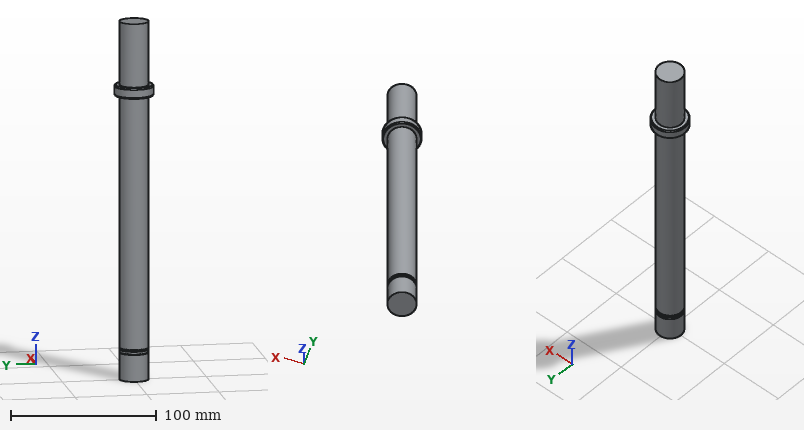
import cadquery as cq

length = 251.0
shaft_radius = 20.0 / 2

collar_radius = 27.0 / 2
collar_bottom = 199.0
collar_height = 7.5
chamfer_height = 1.0
chamfer_depth = 0.8

groove_radius = 16.3 / 2
groove_bottom = 18.8
groove_width = 3.5

ring_radius = 20.3 / 2
ring_bottom = 19.3
ring_thickness = 1.8


def cylinder(radius, bottom, height):
    """Cylinder on the Z axis, starting at the given level."""
    return cq.Workplane("XY", origin=(0, 0, bottom)).circle(radius).extrude(height)


shaft = cylinder(shaft_radius, 0, length)

collar_top = collar_bottom + collar_height
rim_radius = collar_radius - chamfer_depth
collar_profile = [
    (0, collar_bottom),
    (rim_radius, collar_bottom),
    (collar_radius, collar_bottom + chamfer_height),
    (collar_radius, collar_top - chamfer_height),
    (rim_radius, collar_top),
    (0, collar_top),
]
collar = cq.Workplane("XZ").polyline(collar_profile).close().revolve(360, (0, 0), (0, 1))

groove_core = cylinder(groove_radius, groove_bottom, groove_width)
groove = cylinder(shaft_radius, groove_bottom, groove_width).cut(groove_core)

ring = cylinder(ring_radius, ring_bottom, ring_thickness)

result = shaft.union(collar).cut(groove).union(ring)